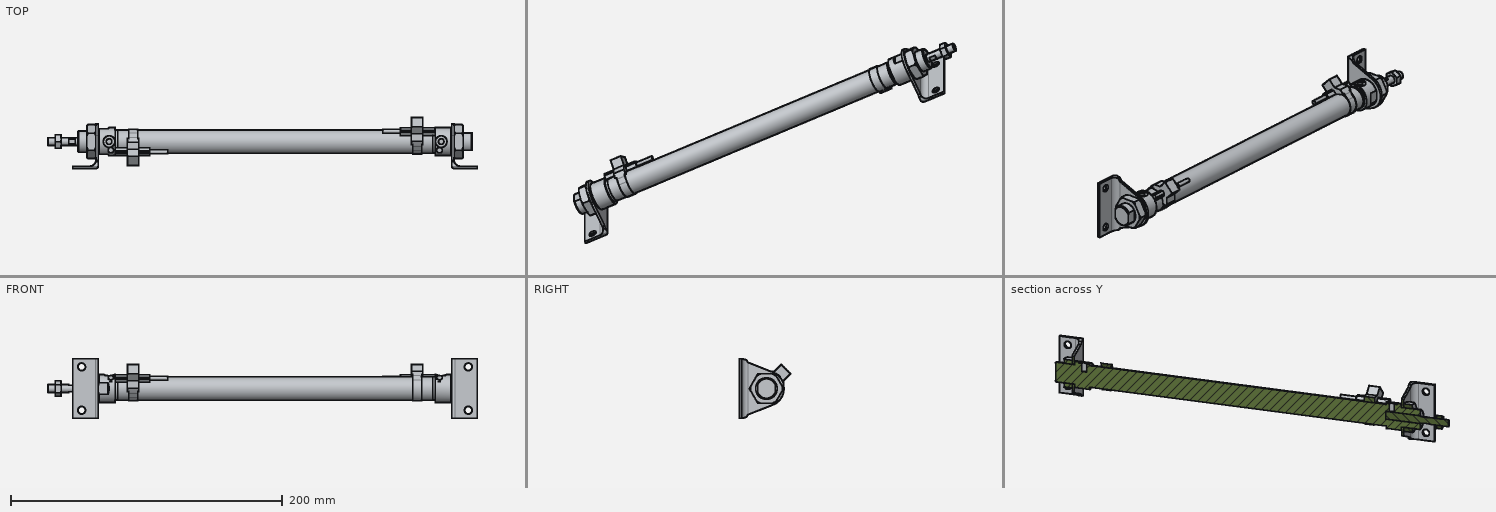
import cadquery as cq
import math


TOTAL_LENGTH = 317.0
ROD_NUT_START = 5.5
ROD_FLATS_START = 15.5
HUB_START = 22.2
FRONT_CAP_START = 37.5
FRONT_CAP_END = 49.8
REAR_CAP_START = 286.0
REAR_CAP_END = 298.0
TAIL_END = 313.2

HUB_DIAMETER = 16.0
HUB_CHAMFER = 0.8
CAP_DIAMETER = 21.0
CAP_CHAMFER = 0.5
BARREL_DIAMETER = 17.5
CRIMP_DIAMETER = 17.0
CRIMP_WIDTH = 2.0
TAIL_FLATS = 13.0
FRONT_CAP_FLATS = 19.0
FRONT_CAP_FLATS_LENGTH = 7.0
FRONT_CAP_FLATS_SLOPE = 1.0
FLATS_CUT_DEPTH = 3.2
PORT_DIAMETER = 4.0
PORT_FACE_DIAMETER = 8.5
PORT_DEPTH = 6.3
FRONT_PORT_X = 45.3
REAR_PORT_X = 290.5
SCREW_DIAMETER = 4.0
SCREW_Y = -6.3
SCREW_FLOOR_Z = 5.0
FRONT_SCREW_X = 46.5
REAR_SCREW_X = 289.0

ROD_DIAMETER = 6.0
ROD_CHAMFER = 0.3
ROD_FLATS = 5.0
ROD_FLATS_LENGTH = 4.8
ROD_NUT_FLATS = 10.0
ROD_NUT_LENGTH = 4.5
ROD_NUT_CHAMFER = 0.3

BRACKET_HEIGHT = 44.0
BRACKET_LENGTH = TOTAL_LENGTH - REAR_CAP_END
BRACKET_THICKNESS = 2.0
BRACKET_FOOT_Y = -20.0
BRACKET_ROUND_RADIUS = 13.0
PLATE_EDGE_Y = -13.5
PLATE_EDGE_HALF_HEIGHT = 19.3
BEND_EDGE_Y = -15.0
BEND_EDGE_HALF_HEIGHT = 21.2
BEND_INNER_RADIUS = 4.5
BEND_OUTER_RADIUS = 2.2
FOOT_HOLE_DIAMETER = 5.5
FOOT_HOLE_SPACING = 32.0
FOOT_HOLE_FROM_PLATE = 12.5

MOUNT_NUT_FLATS = 22.0
MOUNT_NUT_LENGTH = 6.5
MOUNT_NUT_CHAMFER = 1.0

SWITCH_TILT = 45.0
SWITCH_LENGTH = 25.7
SENSOR_WIDTH = 4.8
SENSOR_SHOULDER = 12.0
SENSOR_RIB_WIDTH = 2.5
SENSOR_TOP = 13.3
CABLE_DIAMETER = 3.0
CABLE_HEIGHT = 10.8
CABLE_LENGTH = 13.0
CLAMP_FROM_CAP = 13.3
CLAMP_LENGTH = 8.5
CLAMP_WIDTH = 9.8
CLAMP_TOP = 20.3
CLAMP_NECK = 13.0
CLAMP_SHOULDER = 9.2
CLAMP_SHOULDER_WIDTH = 17.5
CLAMP_BASE = 4.5
STRAP_END = 5.7
STRAP_RADIUS = 9.2
STRAP_LENGTH = 6.5


def rod_along_x(diameter, start, end):
    return cq.Workplane("YZ", origin=(start, 0, 0)).circle(diameter / 2).extrude(end - start)


def pair_of_flats(across, start, end, run_out=0.0):
    """Two prisms that cut flats facing +Y and -Y, `across` apart.

    The end at +X slopes outward by `run_out` along X for each unit of depth.
    """
    floor = across / 2
    top = floor + FLATS_CUT_DEPTH
    prism = (
        cq.Workplane("XY")
        .moveTo(start, floor)
        .lineTo(end, floor)
        .lineTo(end + run_out * FLATS_CUT_DEPTH, top)
        .lineTo(start, top)
        .close()
        .extrude(CAP_DIAMETER, both=True)
    )
    return prism.union(prism.mirror("XZ"))


def make_hex_nut(start, length, across_flats, hole_diameter, chamfer):
    """Hexagon nut with corners on +Y and -Y, turned down at the corners of both ends."""
    corner_diameter = across_flats / math.cos(math.pi / 6)
    hexagon = cq.Workplane("YZ", origin=(start, 0, 0)).polygon(6, corner_diameter).extrude(length)
    turned = rod_along_x(corner_diameter, start, start + length)
    turned = turned.faces("<X or >X").chamfer(chamfer)
    return hexagon.intersect(turned).cut(rod_along_x(hole_diameter, start, start + length))


def cut_port(body, x):
    face_height = math.sqrt((CAP_DIAMETER / 2) ** 2 - (PORT_FACE_DIAMETER / 2) ** 2)
    port = cq.Workplane("XY", origin=(x, 0, face_height))
    body = body.cut(port.circle(PORT_FACE_DIAMETER / 2).extrude(CAP_DIAMETER))
    return body.cut(port.circle(PORT_DIAMETER / 2).extrude(-PORT_DEPTH))


def cut_screw_recess(body, x):
    recess = cq.Workplane("XY", origin=(x, SCREW_Y, SCREW_FLOOR_Z))
    return body.cut(recess.circle(SCREW_DIAMETER / 2).extrude(CAP_DIAMETER))


def make_cylinder():
    front_cap = rod_along_x(CAP_DIAMETER, FRONT_CAP_START, FRONT_CAP_END)
    front_cap = front_cap.faces("<X").chamfer(CAP_CHAMFER)
    flats_end = FRONT_CAP_START + FRONT_CAP_FLATS_LENGTH
    flats = pair_of_flats(FRONT_CAP_FLATS, FRONT_CAP_START, flats_end, FRONT_CAP_FLATS_SLOPE)
    front_cap = front_cap.cut(flats)
    rear_cap = rod_along_x(CAP_DIAMETER, REAR_CAP_START, REAR_CAP_END).faces(">X").chamfer(CAP_CHAMFER)

    hub = rod_along_x(HUB_DIAMETER, HUB_START, FRONT_CAP_START).faces("<X").chamfer(HUB_CHAMFER)
    tail = rod_along_x(HUB_DIAMETER, REAR_CAP_END, TAIL_END).faces(">X").chamfer(HUB_CHAMFER)
    tail_flats_start = REAR_CAP_END + BRACKET_THICKNESS + MOUNT_NUT_LENGTH
    tail = tail.cut(pair_of_flats(TAIL_FLATS, tail_flats_start, TAIL_END))

    crimp = rod_along_x(CRIMP_DIAMETER, FRONT_CAP_END, REAR_CAP_START)
    barrel = rod_along_x(BARREL_DIAMETER, FRONT_CAP_END + CRIMP_WIDTH, REAR_CAP_START - CRIMP_WIDTH)
    body = crimp.union(barrel).union(front_cap).union(rear_cap).union(hub).union(tail)

    for port_x in (FRONT_PORT_X, REAR_PORT_X):
        body = cut_port(body, port_x)
    for screw_x in (FRONT_SCREW_X, REAR_SCREW_X):
        body = cut_screw_recess(body, screw_x)
    return body.cut(rod_along_x(ROD_DIAMETER, HUB_START, FRONT_CAP_END))


def make_rod():
    rod = rod_along_x(ROD_DIAMETER, 0, FRONT_CAP_END).faces("<X").chamfer(ROD_CHAMFER)
    flats = pair_of_flats(ROD_FLATS, ROD_FLATS_START, ROD_FLATS_START + ROD_FLATS_LENGTH)
    return rod.cut(flats.rotate((0, 0, 0), (1, 0, 0), 90))


def make_front_bracket():
    """An upright plate around the hub, bent at its -Y end into a foot toward -X."""
    plate_back = FRONT_CAP_START
    plate_front = plate_back - BRACKET_THICKNESS
    foot_end = plate_back - BRACKET_LENGTH
    foot_inner_y = BRACKET_FOOT_Y + BRACKET_THICKNESS
    half_height = BRACKET_HEIGHT / 2

    section = (
        cq.Workplane("XY", origin=(0, 0, -half_height))
        .moveTo(foot_end, BRACKET_FOOT_Y)
        .lineTo(plate_back, BRACKET_FOOT_Y)
        .lineTo(plate_back, BRACKET_ROUND_RADIUS)
        .lineTo(plate_front, BRACKET_ROUND_RADIUS)
        .lineTo(plate_front, foot_inner_y)
        .lineTo(foot_end, foot_inner_y)
        .close()
        .extrude(BRACKET_HEIGHT)
    )
    inner_corner = cq.selectors.NearestToPointSelector((plate_front, foot_inner_y, 0))
    outer_corner = cq.selectors.NearestToPointSelector((plate_back, BRACKET_FOOT_Y, 0))
    section = section.edges(inner_corner).fillet(BEND_INNER_RADIUS)
    section = section.edges(outer_corner).fillet(BEND_OUTER_RADIUS)

    edge_distance = math.hypot(PLATE_EDGE_Y, PLATE_EDGE_HALF_HEIGHT)
    edge_direction = math.atan2(PLATE_EDGE_HALF_HEIGHT, PLATE_EDGE_Y)
    tangent_angle = edge_direction - math.acos(BRACKET_ROUND_RADIUS / edge_distance)
    tangent_y = BRACKET_ROUND_RADIUS * math.cos(tangent_angle)
    tangent_z = BRACKET_ROUND_RADIUS * math.sin(tangent_angle)
    outline = (
        cq.Workplane("YZ", origin=(foot_end, 0, 0))
        .moveTo(BRACKET_FOOT_Y, -half_height)
        .lineTo(foot_inner_y, -half_height)
        .lineTo(BEND_EDGE_Y, -BEND_EDGE_HALF_HEIGHT)
        .lineTo(PLATE_EDGE_Y, -PLATE_EDGE_HALF_HEIGHT)
        .lineTo(tangent_y, -tangent_z)
        .threePointArc((BRACKET_ROUND_RADIUS, 0), (tangent_y, tangent_z))
        .lineTo(PLATE_EDGE_Y, PLATE_EDGE_HALF_HEIGHT)
        .lineTo(BEND_EDGE_Y, BEND_EDGE_HALF_HEIGHT)
        .lineTo(foot_inner_y, half_height)
        .lineTo(BRACKET_FOOT_Y, half_height)
        .close()
        .extrude(BRACKET_LENGTH)
    )
    bracket = section.intersect(outline)
    bracket = bracket.cut(rod_along_x(HUB_DIAMETER, plate_front, plate_back))
    holes = (
        cq.Workplane("XZ", origin=(plate_back - FOOT_HOLE_FROM_PLATE, foot_inner_y, 0))
        .rarray(3.2, FOOT_HOLE_SPACING, 1, 2)
        .circle(FOOT_HOLE_DIAMETER / 2)
        .extrude(BRACKET_THICKNESS)
    )
    return bracket.cut(holes)


def make_bracket(at_rear):
    """The rear bracket mirrors the front one, its plate lying against the rear cap."""
    bracket = make_front_bracket()
    if at_rear:
        bracket = bracket.mirror("YZ").translate((FRONT_CAP_START + REAR_CAP_END, 0, 0))
    return bracket


def make_mount_nut(at_rear):
    """Nut on the hub or the tail, tight against the bracket plate."""
    start = FRONT_CAP_START - BRACKET_THICKNESS - MOUNT_NUT_LENGTH
    if at_rear:
        start = REAR_CAP_END + BRACKET_THICKNESS
    return make_hex_nut(start, MOUNT_NUT_LENGTH, MOUNT_NUT_FLATS, HUB_DIAMETER, MOUNT_NUT_CHAMFER)


def make_clamp_profile(x, length):
    """Strap around the barrel that narrows upward into a square head, as one prism centred on x."""
    half_width = CLAMP_WIDTH / 2
    half_shoulder = CLAMP_SHOULDER_WIDTH / 2
    half = (
        cq.Workplane("YZ", origin=(x, 0, 0))
        .moveTo(0, -STRAP_RADIUS)
        .radiusArc((STRAP_RADIUS, 0), -STRAP_RADIUS)
        .lineTo(STRAP_RADIUS, CLAMP_BASE)
        .tangentArcPoint((half_shoulder, CLAMP_SHOULDER), relative=False)
        .lineTo(half_width, CLAMP_NECK)
        .lineTo(half_width, CLAMP_TOP)
        .lineTo(0, CLAMP_TOP)
        .close()
        .extrude(length / 2, both=True)
    )
    return half.union(half.mirror("XZ"))


def make_front_switch():
    """Sensor, cable stub and clamp, built upright and then tilted toward -Y."""
    sensor_end = FRONT_CAP_END + SWITCH_LENGTH
    half_sensor = SENSOR_WIDTH / 2
    half_rib = SENSOR_RIB_WIDTH / 2
    sensor = (
        cq.Workplane("YZ", origin=(FRONT_CAP_END, 0, 0))
        .moveTo(-half_sensor, BARREL_DIAMETER / 2)
        .lineTo(half_sensor, BARREL_DIAMETER / 2)
        .lineTo(half_sensor, SENSOR_SHOULDER)
        .lineTo(half_rib, SENSOR_SHOULDER)
        .lineTo(half_rib, SENSOR_TOP)
        .lineTo(-half_rib, SENSOR_TOP)
        .lineTo(-half_rib, SENSOR_SHOULDER)
        .lineTo(-half_sensor, SENSOR_SHOULDER)
        .close()
        .extrude(SWITCH_LENGTH)
    )
    cable = rod_along_x(CABLE_DIAMETER, sensor_end, sensor_end + CABLE_LENGTH).translate((0, 0, CABLE_HEIGHT))

    clamp_x = FRONT_CAP_END + CLAMP_FROM_CAP
    strap = make_clamp_profile(clamp_x, STRAP_LENGTH)
    above_strap = cq.Workplane("XY", origin=(clamp_x, 0, STRAP_END)).rect(CLAMP_LENGTH, 2 * CLAMP_TOP)
    clamp = make_clamp_profile(clamp_x, CLAMP_LENGTH).intersect(above_strap.extrude(CLAMP_TOP))
    barrel_space = rod_along_x(BARREL_DIAMETER, 0, TOTAL_LENGTH)
    switch = sensor.union(clamp).union(strap).cut(barrel_space).union(cable)
    return switch.rotate((0, 0, 0), (1, 0, 0), SWITCH_TILT)


def make_switch(at_rear):
    """The rear switch is the front one given a half turn about Z and set against the rear cap."""
    switch = make_front_switch()
    if at_rear:
        switch = switch.rotate((0, 0, 0), (0, 0, 1), 180).translate((FRONT_CAP_END + REAR_CAP_START, 0, 0))
    return switch


cylinder = make_cylinder()
rod = make_rod()
rod_nut = make_hex_nut(ROD_NUT_START, ROD_NUT_LENGTH, ROD_NUT_FLATS, ROD_DIAMETER, ROD_NUT_CHAMFER)
rod_nut = rod_nut.rotate((0, 0, 0), (1, 0, 0), 90)

brackets = []
mount_nuts = []
switches = []
for at_rear in (False, True):
    brackets.append(make_bracket(at_rear).val())
    mount_nuts.append(make_mount_nut(at_rear).val())
    switches.append(make_switch(at_rear).val())

result = cq.Compound.makeCompound([
    cylinder.val(),
    rod.val(),
    rod_nut.val(),
    *brackets,
    *mount_nuts,
    *switches,
])